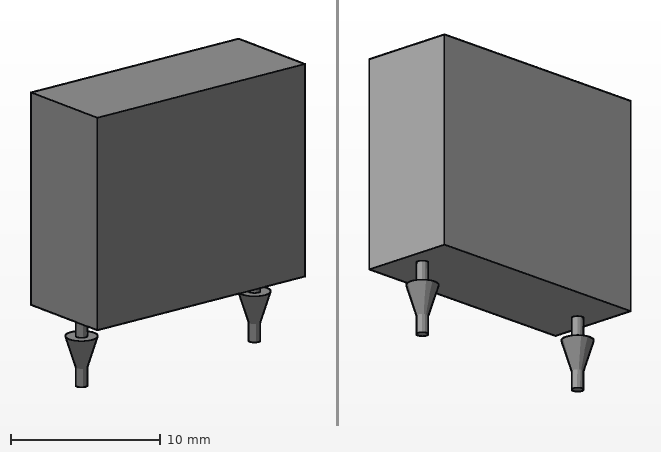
import cadquery as cq

body_width = 7.0
body_depth = 18.0
body_height = 15.0
total_height = 20.1

pin_pitch = 15.0
pin_diameter = 0.8
pin_length = total_height - body_height
collar_diameter = 2.2
collar_offset = 1.6
collar_height = 2.2


def make_pin(y):
    """Pin hanging from the body underside, with a collar tapering down to it."""
    pin_radius = pin_diameter / 2
    collar_radius = collar_diameter / 2
    collar_top = -collar_offset
    collar_bottom = collar_top - collar_height
    half_profile = (
        cq.Workplane("XZ")
        .moveTo(0, 0)
        .lineTo(pin_radius, 0)
        .lineTo(pin_radius, collar_top)
        .lineTo(collar_radius, collar_top)
        .lineTo(pin_radius, collar_bottom)
        .lineTo(pin_radius, -pin_length)
        .lineTo(0, -pin_length)
        .close()
    )
    return half_profile.revolve(360, (0, 0), (0, 1)).translate((0, y, 0))


result = cq.Workplane("XY").box(body_width, body_depth, body_height, centered=(True, True, False))

for side in (-1, 1):
    result = result.union(make_pin(side * pin_pitch / 2))